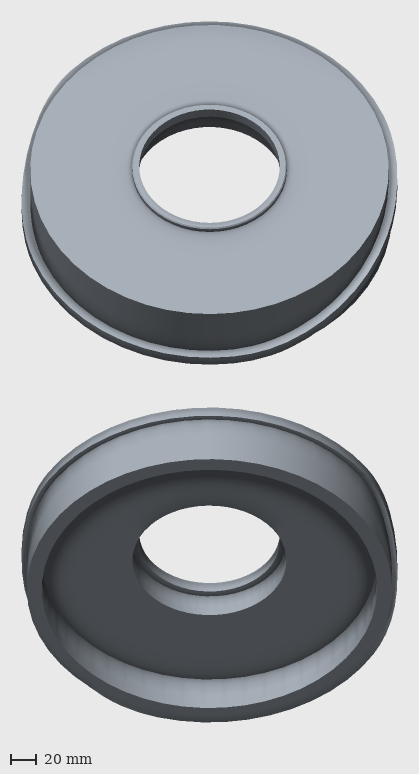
import cadquery as cq
import math

flange_radius = 145.3
upper_radius = 138.5
lower_radius = 141.2
body_height = 57.0
total_height = 61.3
bore_radius = 54.3
lip_thickness = 9.3
counterbore_radius = 59.5
cavity_depth = 31.5
cavity_wall = 9.0
collar_radius = 60.0
collar_chamfer = 1.0

flange_thickness = 9.0
flange_rise = 43.5

steep_crest_start = 57.3
steep_angle = 25.0
steep_crest_radius = 90.0
steep_valley_radius = 162.2

gentle_crest_start = 96.0
gentle_angle = 12.6
gentle_crest_radius = 159.8
gentle_valley_radius = 122.0

margin = 14.5


def disc(radius, height):
    return cq.Workplane("XY").circle(radius).extrude(height)


def below_ramp(side, crest_start, angle_deg, crest_radius, valley_radius, offset):
    """Half space (side = -1 or +1 along X) under the ramp, raised by offset along its normal."""
    angle = math.radians(angle_deg)
    reach = flange_radius + margin
    low_z = offset
    high_z = flange_rise + offset

    crest_center_z = flange_rise - crest_radius
    arc_drop = (crest_radius + valley_radius) * (1 - math.cos(angle))
    line_run = (flange_rise - arc_drop) / math.tan(angle)
    arc_run = (crest_radius + valley_radius) * math.sin(angle)
    valley_end = crest_start - arc_run - line_run

    crest = crest_radius + offset
    valley = valley_radius - offset

    def on_crest(turn):
        return (crest_start - crest * math.sin(turn), crest_center_z + crest * math.cos(turn))

    def on_valley(turn):
        return (valley_end + valley * math.sin(turn), valley_radius - valley * math.cos(turn))

    return (
        cq.Workplane("YZ")
        .moveTo(reach, -margin)
        .lineTo(reach, high_z)
        .lineTo(crest_start, high_z)
        .threePointArc(on_crest(angle / 2), on_crest(angle))
        .lineTo(*on_valley(angle))
        .threePointArc(on_valley(angle / 2), (valley_end, low_z))
        .lineTo(-reach, low_z)
        .lineTo(-reach, -margin)
        .close()
        .extrude(side * reach)
    )


def below_wave(offset):
    steep = below_ramp(
        -1, steep_crest_start, steep_angle, steep_crest_radius, steep_valley_radius, offset
    )
    gentle = below_ramp(
        1, gentle_crest_start, gentle_angle, gentle_crest_radius, gentle_valley_radius, offset
    )
    return steep.union(gentle)


upper_body = disc(upper_radius, body_height)
lower_body = disc(lower_radius, body_height).intersect(below_wave(0))

flange = disc(flange_radius, body_height).intersect(below_wave(flange_thickness)).cut(below_wave(0))

collar = disc(collar_radius, total_height).faces(">Z").edges().chamfer(collar_chamfer)

bore = disc(bore_radius, total_height)
counterbore = disc(counterbore_radius, total_height - lip_thickness)

cavity = disc(upper_radius - cavity_wall, cavity_depth)

solid_cam = upper_body.union(lower_body).union(flange).union(collar)
result = solid_cam.cut(bore).cut(counterbore).cut(cavity)